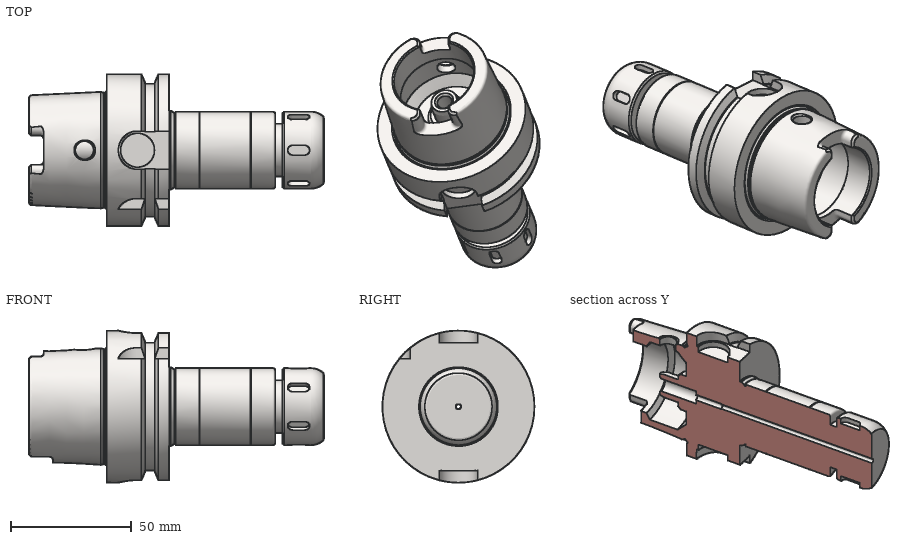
import cadquery as cq
import math

length = 122.0

shank_end_round = 1.3
shank_front_radius = 22.8
shank_back_radius = 24.2
shank_back_x = 29.8

relief_radius = 23.9
relief_groove_start_x = 30.6
relief_groove_end_x = 31.5
relief_groove_depth = 0.4
relief_groove_bevel = 0.2
face_recess_inner_radius = 24.6
face_recess_outer_radius = 25.4
face_recess_depth = 0.4

flange_radius = 31.5
flange_x = 32.1
flange_end_x = 58.0
groove_radius = 27.6
groove_start_x = 48.1
groove_end_x = 52.0
groove_shoulder_radius = 28.0
groove_bevel_run = 1.6

collar_radius = 16.3
collar_bevel_x = 58.7
collar_lip_radius = 15.5
collar_lip_x = 60.0
collar_groove_radius = 15.0
collar_groove_x = 60.3

body_radius = 16.0
body_x = 60.6
body_end_x = 101.9
body_end_round = 1.1
ring_groove_places = (70.5, 91.7)
ring_groove_width = 0.4
ring_groove_depth = 0.1
neck_radius = 11.0

nut_radius = body_radius
nut_x = 104.8
nut_bevel = 0.7
nut_round_x = 116.5
nut_rim_x = 121.8
nut_rim_radius = 13.9
nut_face_radius = 13.0

wrench_slot_count = 6
wrench_slot_x = 111.5
wrench_slot_length = 9.0
wrench_slot_width = 4.0
wrench_slot_depth = 2.5

mouth_radius = 17.6
mouth_bevel = 0.6
cavity_radius = mouth_radius - mouth_bevel
undercut_x = 12.7
undercut_radius = 19.8
undercut_angle = 60
cavity_floor_radius = 15.7
cavity_floor_x = 31.7

tube_nut_radius = 9.2
tube_nut_x = 27.8
tube_nut_bevel = 1.3
tube_foot_depth = 1.2
tube_radius = 6.0
tube_tip_radius = 5.4
tube_tip_x = 18.9
tube_bevel_x = 21.0
tube_mouth_radius = 3.9
tube_bore_radius = 3.0
tube_bore_end_x = 36.6
coolant_step_radius = 1.2
coolant_step_end_x = 48.8
coolant_radius = 1.0

drive_slot_half_width = 6.0
drive_slot_flare_radius = 2.9
drive_slot_flare_z = 17.8
drive_slot_floor_round = 1.5
drive_slot_mouth_bevel = 1.0
top_drive_slot_depth = 6.1
bottom_drive_slot_depth = 9.9

access_hole_x = 22.9
access_hole_radius = 3.8
access_hole_bevel = 0.7

key_slot_radius = 7.9
key_slot_x = 44.9
key_floor_z = 26.5
pocket_radius = 14.0 / 2
pocket_depth = 2.7
notch_radius = 8.5
notch_x = 44.3
notch_wall_y = -20.0
notch_floor_z = 19.9

clearance = 6.1


def revolve_about_axis(outline):
    return outline.close().revolve(360, (0, 0, 0), (1, 0, 0))


def make_outside():
    outline = (
        cq.Workplane("XY")
        .moveTo(0, 0)
        .lineTo(0, shank_front_radius - shank_end_round)
        .tangentArcPoint((shank_end_round, shank_front_radius), relative=False)
        .lineTo(shank_back_x, shank_back_radius)
        .lineTo(relief_groove_start_x, relief_radius)
        .lineTo(relief_groove_start_x + relief_groove_bevel, relief_radius - relief_groove_depth)
        .lineTo(relief_groove_end_x - relief_groove_bevel, relief_radius - relief_groove_depth)
        .lineTo(relief_groove_end_x, relief_radius)
        .lineTo(flange_x + face_recess_depth, face_recess_inner_radius)
        .lineTo(flange_x, face_recess_outer_radius)
        .lineTo(flange_x, flange_radius)
        .lineTo(groove_start_x - groove_bevel_run, flange_radius)
        .lineTo(groove_start_x, groove_shoulder_radius)
        .lineTo(groove_start_x, groove_radius)
        .lineTo(groove_end_x, groove_radius)
        .lineTo(groove_end_x, groove_shoulder_radius)
        .lineTo(groove_end_x + groove_bevel_run, flange_radius)
        .lineTo(flange_end_x, flange_radius)
        .lineTo(flange_end_x, collar_radius)
        .lineTo(collar_bevel_x, collar_radius)
        .lineTo(collar_lip_x, collar_lip_radius)
        .lineTo(collar_groove_x, collar_groove_radius)
        .lineTo(body_x, collar_groove_radius)
        .lineTo(body_x, body_radius)
    )
    for groove_x in ring_groove_places:
        outline = (
            outline.lineTo(groove_x - ring_groove_width / 2, body_radius)
            .lineTo(groove_x, body_radius - ring_groove_depth)
            .lineTo(groove_x + ring_groove_width / 2, body_radius)
        )
    outline = (
        outline.lineTo(body_end_x - body_end_round, body_radius)
        .tangentArcPoint((body_end_x, body_radius - body_end_round), relative=False)
        .lineTo(body_end_x, neck_radius)
        .lineTo(nut_x, neck_radius)
        .lineTo(nut_x, nut_radius - nut_bevel)
        .lineTo(nut_x + nut_bevel, nut_radius)
        .lineTo(nut_round_x, nut_radius)
        .tangentArcPoint((nut_rim_x, nut_rim_radius), relative=False)
        .lineTo(length, nut_face_radius)
        .lineTo(length, 0)
    )
    return revolve_about_axis(outline)


def make_cavity():
    shoulder_length = (undercut_radius - cavity_radius) / math.tan(math.radians(undercut_angle))
    floor_bevel = undercut_radius - cavity_floor_radius
    return revolve_about_axis(
        cq.Workplane("XY")
        .moveTo(0, 0)
        .lineTo(0, mouth_radius)
        .lineTo(mouth_bevel, cavity_radius)
        .lineTo(undercut_x, cavity_radius)
        .lineTo(undercut_x + shoulder_length, undercut_radius)
        .lineTo(cavity_floor_x - floor_bevel, undercut_radius)
        .lineTo(cavity_floor_x, cavity_floor_radius)
        .lineTo(cavity_floor_x, 0)
    )


def make_coolant_tube():
    foot_x = cavity_floor_x + tube_foot_depth
    return revolve_about_axis(
        cq.Workplane("XY")
        .moveTo(tube_tip_x, 0)
        .lineTo(tube_tip_x, tube_tip_radius)
        .lineTo(tube_bevel_x, tube_radius)
        .lineTo(tube_nut_x, tube_radius)
        .lineTo(tube_nut_x, tube_nut_radius - tube_nut_bevel)
        .lineTo(tube_nut_x + tube_nut_bevel, tube_nut_radius)
        .lineTo(foot_x, tube_nut_radius)
        .lineTo(foot_x, 0)
    )


def make_coolant_bore():
    mouth_bevel_depth = tube_mouth_radius - tube_bore_radius
    return revolve_about_axis(
        cq.Workplane("XY")
        .moveTo(tube_tip_x, 0)
        .lineTo(tube_tip_x, tube_mouth_radius)
        .lineTo(tube_tip_x + mouth_bevel_depth, tube_bore_radius)
        .lineTo(tube_bore_end_x, tube_bore_radius)
        .lineTo(tube_bore_end_x, coolant_step_radius)
        .lineTo(coolant_step_end_x, coolant_step_radius)
        .lineTo(coolant_step_end_x, coolant_radius)
        .lineTo(length, coolant_radius)
        .lineTo(length, 0)
    )


def drive_slot_outline(growth):
    half_width = drive_slot_half_width + growth
    flare = drive_slot_flare_radius - growth
    flare_top_z = drive_slot_flare_z + flare
    flare_half_width = half_width + flare
    mid_y = flare_half_width - flare * math.cos(math.pi / 4)
    mid_z = drive_slot_flare_z + flare * math.sin(math.pi / 4)
    outer_y = flare_half_width + clearance
    outer_z = shank_back_radius + clearance
    return (
        cq.Workplane("YZ")
        .moveTo(-half_width, 0)
        .lineTo(half_width, 0)
        .lineTo(half_width, drive_slot_flare_z)
        .threePointArc((mid_y, mid_z), (flare_half_width, flare_top_z))
        .lineTo(outer_y, flare_top_z)
        .lineTo(outer_y, outer_z)
        .lineTo(-outer_y, outer_z)
        .lineTo(-outer_y, flare_top_z)
        .lineTo(-flare_half_width, flare_top_z)
        .threePointArc((-mid_y, mid_z), (-half_width, drive_slot_flare_z))
        .close()
    )


def make_drive_slot(depth):
    slot = drive_slot_outline(0).extrude(depth).faces(">X").edges().fillet(drive_slot_floor_round)
    mouth = drive_slot_outline(drive_slot_mouth_bevel).extrude(drive_slot_mouth_bevel, taper=45)
    return slot.union(mouth)


def make_access_hole():
    taper_slope = (shank_back_radius - shank_front_radius) / (shank_back_x - shank_end_round)
    surface_z = shank_front_radius + taper_slope * (access_hole_x - shank_end_round)
    inner_z = undercut_radius - clearance
    rim_radius = access_hole_radius + access_hole_bevel
    return (
        cq.Workplane("XZ")
        .moveTo(0, inner_z)
        .lineTo(access_hole_radius, inner_z)
        .lineTo(access_hole_radius, surface_z - access_hole_bevel)
        .lineTo(rim_radius, surface_z)
        .lineTo(rim_radius, surface_z + clearance)
        .lineTo(0, surface_z + clearance)
        .close()
        .revolve(360, (0, 0, 0), (0, 1, 0))
        .translate((access_hole_x, 0, 0))
    )


def round_ended_cut(end_x, center_y, radius, floor_z):
    run = flange_end_x - end_x
    height = flange_radius + clearance - floor_z
    base = cq.Workplane("XY", origin=(end_x, center_y, floor_z))
    straight = base.center(run / 2, 0).rect(run, 2 * radius).extrude(height)
    return base.circle(radius).extrude(height).union(straight)


def make_key_slot():
    pocket = (
        cq.Workplane("XY", origin=(key_slot_x, 0, key_floor_z - pocket_depth))
        .circle(pocket_radius)
        .extrude(pocket_depth + clearance)
    )
    return round_ended_cut(key_slot_x, 0, key_slot_radius, key_floor_z).union(pocket)


def make_notch():
    return round_ended_cut(notch_x, notch_wall_y - notch_radius, notch_radius, notch_floor_z)


def make_wrench_slot():
    return (
        cq.Workplane("XY", origin=(wrench_slot_x, 0, nut_radius - wrench_slot_depth))
        .slot2D(wrench_slot_length, wrench_slot_width)
        .extrude(wrench_slot_depth + clearance)
    )


def turned(shape, angle):
    return shape.rotate((0, 0, 0), (1, 0, 0), angle)


result = make_outside().cut(make_cavity()).union(make_coolant_tube()).cut(make_coolant_bore())

result = result.cut(make_drive_slot(top_drive_slot_depth))
result = result.cut(turned(make_drive_slot(bottom_drive_slot_depth), 180))
result = result.cut(make_access_hole())

for key_angle in (0, 180):
    result = result.cut(turned(make_key_slot(), key_angle))
result = result.cut(make_notch())

for slot_index in range(wrench_slot_count):
    result = result.cut(turned(make_wrench_slot(), slot_index * 360 / wrench_slot_count))